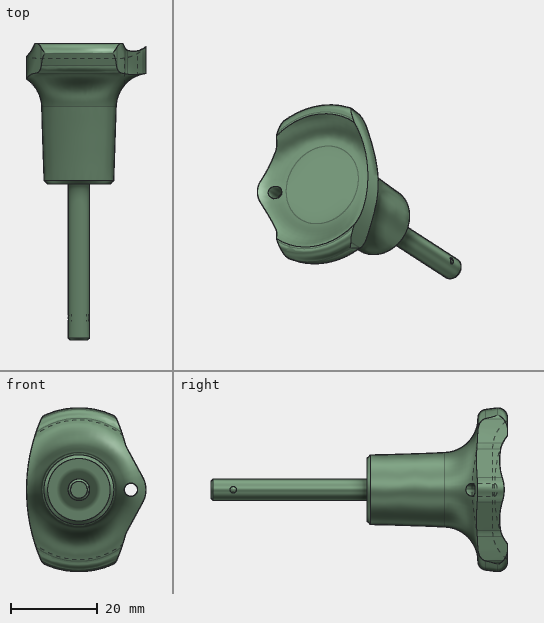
import cadquery as cq
import math


pin_diameter = 5.0
pin_length = 36.0
pin_chamfer = 0.55
ball_diameter = 1.5
ball_tip_distance = 5.2

handle_length = 32.5
barrel_length = 17.95
barrel_front_radius = 8.06
barrel_back_radius = 8.62
barrel_chamfer = 0.85

flare_radius = 7.9
rim_radius = 18.94
rim_back_round = 2.4
rim_draft_angle = 8.0

dish_depth = 3.5
dish_floor_radius = 9.4
dish_round_radius = 8.2

grip_half_width = 12.1
side_arc_radius = 41.0
corner_round = 2.0

lug_reach = 15.49
lug_round_radius = 6.0
lug_flank_angle = 28.5
lug_root_x = 8.0
lug_blend_radius = 6.0
blend_search_margin = 1.5
lug_hole_diameter = 3.0
lug_hole_offset = 12.0


def circle_point(center, radius, angle):
    """Point on a circle at the given angle in degrees."""
    turn = math.radians(angle)
    return (center[0] + radius * math.cos(turn), center[1] + radius * math.sin(turn))


def cylinder_along_y(radius, x):
    """Cylinder parallel to Y that spans the length of the handle."""
    return cq.Workplane("XZ").center(x, 0).circle(radius).extrude(-handle_length)


def make_turned_handle():
    """Barrel, flare and full round rim with the dish in its back."""
    taper = math.atan2(barrel_back_radius - barrel_front_radius, barrel_length - barrel_chamfer)
    flare_center = (
        barrel_back_radius + flare_radius * math.cos(taper),
        barrel_length - flare_radius * math.sin(taper),
    )
    flare_end = (flare_center[0], flare_center[1] + flare_radius)

    back_y = handle_length - rim_back_round
    back_center = (rim_radius - rim_back_round, back_y)
    draft = math.radians(rim_draft_angle)
    land_drop = (rim_radius - flare_end[0]) * math.cos(draft) - (back_y - flare_end[1]) * math.sin(draft)
    front_round = land_drop / (1 - math.sin(draft))
    front_center = (flare_end[0], flare_end[1] + front_round)

    dish_center_y = handle_length - dish_depth + dish_round_radius
    dish_center = (dish_floor_radius, dish_center_y)
    dish_sweep = math.degrees(math.acos(1 - dish_depth / dish_round_radius))
    dish_edge = circle_point(dish_center, dish_round_radius, dish_sweep - 90)
    dish_middle = circle_point(dish_center, dish_round_radius, dish_sweep / 2 - 90)

    profile = (
        cq.Workplane("XY")
        .moveTo(0, 0)
        .lineTo(barrel_front_radius - barrel_chamfer, 0)
        .lineTo(barrel_front_radius, barrel_chamfer)
        .lineTo(barrel_back_radius, barrel_length)
        .threePointArc(circle_point(flare_center, flare_radius, 135), flare_end)
        .threePointArc(
            circle_point(front_center, front_round, -45),
            circle_point(front_center, front_round, -rim_draft_angle),
        )
        .lineTo(rim_radius, back_y)
        .threePointArc(
            circle_point(back_center, rim_back_round, 45),
            (back_center[0], handle_length),
        )
        .lineTo(*dish_edge)
        .threePointArc(dish_middle, (dish_floor_radius, handle_length - dish_depth))
        .lineTo(0, handle_length - dish_depth)
        .close()
    )
    return profile.revolve(360, (0, 0, 0), (0, 1, 0))


def make_grip_outline():
    """Prism along Y with bowed sides, round ends and the lug on +X."""
    side_offset = side_arc_radius - grip_half_width
    wings = (
        cylinder_along_y(rim_radius, 0)
        .intersect(cylinder_along_y(side_arc_radius, side_offset))
        .intersect(cylinder_along_y(side_arc_radius, -side_offset))
        .edges("|Y")
        .fillet(corner_round)
    )

    flank = math.radians(lug_flank_angle)
    lug_center = (lug_reach - lug_round_radius, 0)
    tangent = circle_point(lug_center, lug_round_radius, lug_flank_angle)
    root_z = tangent[1] + (tangent[0] - lug_root_x) / math.tan(flank)
    lug = (
        cq.Workplane("XZ")
        .moveTo(lug_root_x, -root_z)
        .lineTo(tangent[0], -tangent[1])
        .threePointArc((lug_reach, 0), tangent)
        .lineTo(lug_root_x, root_z)
        .close()
        .extrude(-handle_length)
    )
    lug_blends = cq.selectors.BoxSelector(
        (lug_root_x + blend_search_margin, 0, -rim_radius),
        (grip_half_width, handle_length, rim_radius),
    )
    return wings.union(lug).edges("|Y").edges(lug_blends).fillet(lug_blend_radius)


def make_pin():
    """Round pin with a chamfered tip and a flush locking ball on each side."""
    pin = cq.Workplane("XZ").circle(pin_diameter / 2).extrude(pin_length)
    pin = pin.faces("<Y").chamfer(pin_chamfer)
    ball_radius = ball_diameter / 2
    ball_depth = pin_diameter / 2 - ball_radius
    for side in (-1, 1):
        ball_center = (side * ball_depth, ball_tip_distance - pin_length, 0)
        ball = cq.Workplane("XY").sphere(ball_radius).translate(ball_center)
        bore = cq.Workplane("YZ").circle(ball_radius).extrude(side * pin_diameter).translate(ball_center)
        pin = pin.cut(bore.cut(ball))
    return pin


def make_handle():
    """Turned handle trimmed to the grip outline, with the lanyard hole."""
    handle = make_turned_handle().intersect(make_grip_outline())
    return handle.cut(cylinder_along_y(lug_hole_diameter / 2, lug_hole_offset))


result = make_handle().union(make_pin())